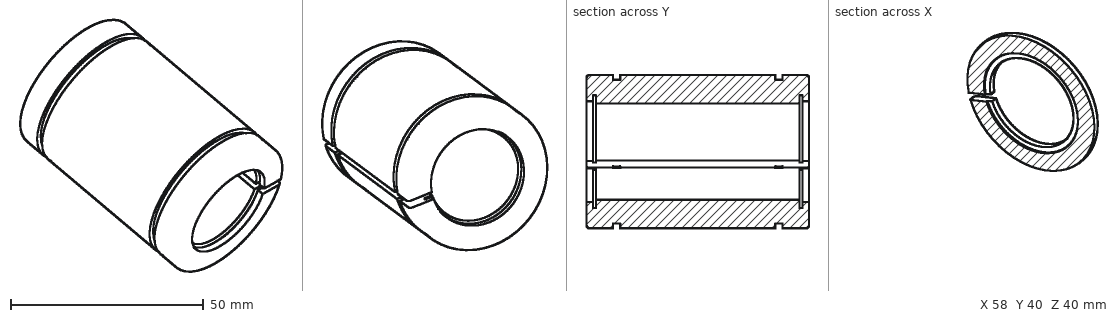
import cadquery as cq

length = 58.0
outer_diameter = 40.0
bore_diameter = 25.0
edge_radius = 0.9

groove_inset = 6.95
groove_width = 1.85
groove_depth = 1.3

lip_diameter = 26.2
lip_thickness = 1.8
recess_diameter = 29.35
recess_width = 0.7

slit_width = 2.0
slit_angle = -15.0


def cylinder(start_x, depth, diameter):
    """Solid cylinder along +X starting at start_x."""
    return cq.Workplane("YZ", origin=(start_x, 0, 0)).circle(diameter / 2).extrude(depth)


def groove_ring(start_x):
    """Ring removed from the outside surface to leave one groove."""
    groove_diameter = outer_diameter - 2 * groove_depth
    ring = cylinder(start_x, groove_width, outer_diameter + 2 * groove_depth)
    return ring.cut(cylinder(start_x, groove_width, groove_diameter))


left_end = -length / 2
right_end = length / 2

body = cylinder(left_end, length, outer_diameter)
body = body.faces("<X or >X").edges().fillet(edge_radius)

body = body.cut(cylinder(left_end, length, bore_diameter))
for start_x in (left_end, right_end - lip_thickness):
    body = body.cut(cylinder(start_x, lip_thickness, lip_diameter))
for start_x in (left_end + lip_thickness, right_end - lip_thickness - recess_width):
    body = body.cut(cylinder(start_x, recess_width, recess_diameter))

for start_x in (left_end + groove_inset, right_end - groove_inset - groove_width):
    body = body.cut(groove_ring(start_x))

slit = (
    cq.Workplane("XY")
    .box(length, outer_diameter, slit_width, centered=(True, False, True))
    .rotate((0, 0, 0), (1, 0, 0), slit_angle)
)
result = body.cut(slit)